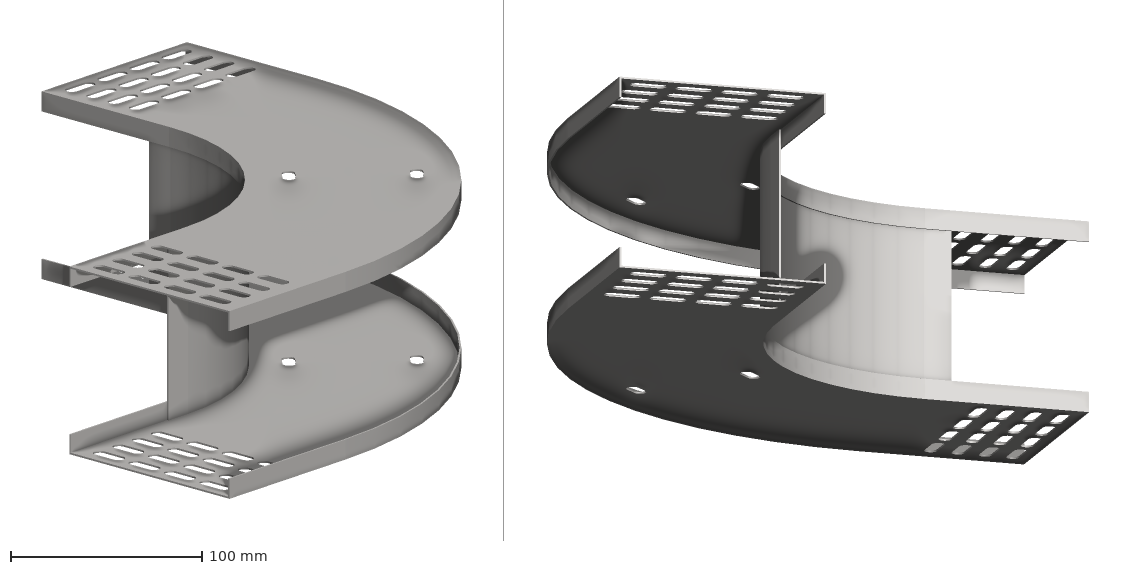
import cadquery as cq
import math


total_height = 103.0
overall_length = 323.75
arm_length = 90.0
tray_width = 113.0
sheet = 1.0
flange_height = 11.0
liner_leg = 15.0

outer_radius = overall_length - arm_length
inner_radius = outer_radius - tray_width
middle_radius = (inner_radius + outer_radius) / 2

slot_length = 20.0
slot_width = 7.0
slots_across = 4
slots_along = 4
pitch_across = 25.0
pitch_along = 15.0
first_slot_from_end = 10.0

bend_slot_length = 15.0
bend_slot_width = 7.0
bend_slot_spacing = 67.0


def bend_strip(radius_in, radius_out, leg, height):
    """Quarter-ring strip with a straight leg at each end, extruded up from Z = 0."""
    diagonal = math.sqrt(0.5)
    return (
        cq.Workplane("XY")
        .moveTo(-leg, radius_in)
        .lineTo(-leg, radius_out)
        .lineTo(0, radius_out)
        .threePointArc((radius_out * diagonal, radius_out * diagonal), (radius_out, 0))
        .lineTo(radius_out, -leg)
        .lineTo(radius_in, -leg)
        .lineTo(radius_in, 0)
        .threePointArc((radius_in * diagonal, radius_in * diagonal), (0, radius_in))
        .close()
        .extrude(height)
    )


def arm_slots():
    """Cutters for the slot array of the arm toward -X; slots run across the tray."""
    array_center = first_slot_from_end + pitch_along * (slots_along - 1) / 2 - arm_length
    return (
        cq.Workplane("XY")
        .center(array_center, middle_radius)
        .rarray(pitch_along, pitch_across, slots_along, slots_across)
        .slot2D(slot_length, slot_width, 90)
        .extrude(sheet)
    )


def bend_slots():
    """Cutters for the two tangential slots in the middle of the bend."""
    return (
        cq.Workplane("XY")
        .transformed(rotate=(0, 0, 45))
        .center(middle_radius, 0)
        .rarray(bend_slot_spacing, 1, 2, 1)
        .slot2D(bend_slot_length, bend_slot_width, 90)
        .extrude(sheet)
    )


def make_tray():
    """Lower tray: slotted base sheet with an upright flange along each long edge."""
    base = bend_strip(inner_radius, outer_radius, arm_length, sheet)
    inner_flange = bend_strip(inner_radius, inner_radius + sheet, arm_length, flange_height)
    outer_flange = bend_strip(outer_radius - sheet, outer_radius, arm_length, flange_height)
    first_arm_slots = arm_slots()
    second_arm_slots = first_arm_slots.mirror("XZ").rotate((0, 0, 0), (0, 0, 1), 90)
    return (
        base.union(inner_flange)
        .union(outer_flange)
        .cut(first_arm_slots)
        .cut(second_arm_slots)
        .cut(bend_slots())
    )


def make_liner():
    """Curved wall standing between the trays, against the inside of the inner flanges."""
    radius_in = inner_radius + sheet
    wall = bend_strip(radius_in, radius_in + sheet, liner_leg, total_height - 2 * sheet)
    return wall.translate((0, 0, sheet))


lower_tray = make_tray()
upper_tray = lower_tray.mirror("XY").translate((0, 0, total_height))
liner = make_liner()

result = cq.Compound.makeCompound([lower_tray.val(), upper_tray.val(), liner.val()])